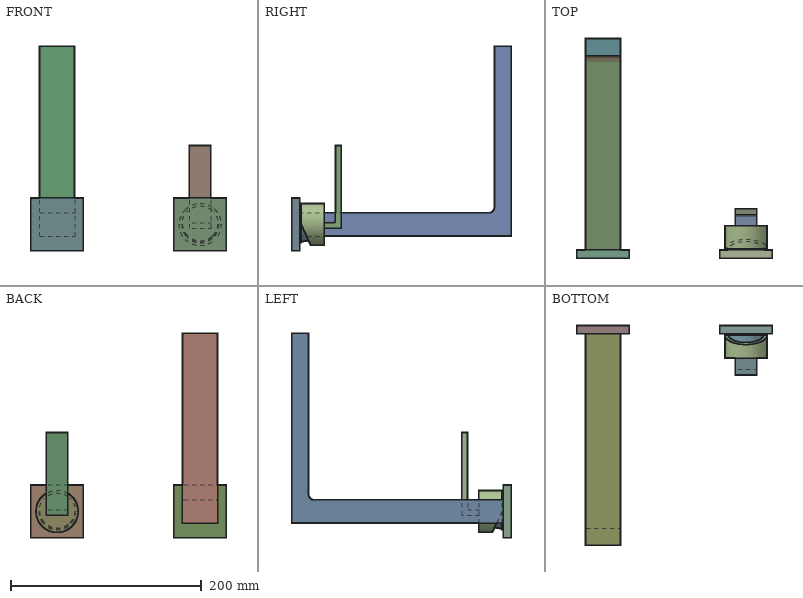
import cadquery as cq

plate_side = 55.3
plate_thickness = 8.8
plate_spacing = 149.8
lever_x = plate_spacing

total_depth = 230.5
spout_width = 36.9
spout_arm_height = 24.5
spout_riser_depth = 18.0
spout_top = 214.5 - plate_side / 2
spout_bend_radius = 5.5

hub_radius = 19.4
knob_radius = 22.1
knob_back = 10.1
knob_front = 34.3

relief_front = 20.0
core_back_radius = 18.5
core_front_radius = 16.8

lever_width = 22.8
lever_back = 45.9
lever_front = 52.0
lever_top = 82.7
lever_bottom = -4.0
tongue_top = 1.8
lever_bend_radius = 1.5


def along_wall_normal(radius, start, end):
    """Cylinder on the lever axis, running from y = start to y = end."""
    return (
        cq.Workplane("XZ", origin=(lever_x, start, 0))
        .circle(radius)
        .extrude(start - end)
    )


def side_profile(points, center_x, width):
    """Prism with the given (y, z) outline, centred on center_x."""
    return (
        cq.Workplane("YZ", origin=(center_x, 0, 0))
        .polyline(points)
        .close()
        .extrude(width / 2, both=True)
    )


def fillet_inner_bend(bar, corner, radius):
    """Round the edge of an L-shaped bar whose midpoint is corner."""
    return bar.edges(cq.selectors.NearestToPointSelector(corner)).fillet(radius)


def make_plate(center_x):
    return cq.Workplane("XY").box(plate_side, plate_thickness, plate_side).translate(
        (center_x, plate_thickness / 2, 0)
    )


def make_spout():
    arm_top = spout_arm_height / 2
    riser_back = total_depth - spout_riser_depth
    outline = [
        (plate_thickness, -arm_top),
        (total_depth, -arm_top),
        (total_depth, spout_top),
        (riser_back, spout_top),
        (riser_back, arm_top),
        (plate_thickness, arm_top),
    ]
    spout = side_profile(outline, 0, spout_width)
    return fillet_inner_bend(spout, (0, riser_back, arm_top), spout_bend_radius)


def make_hub():
    return along_wall_normal(hub_radius, plate_thickness, knob_back)


def make_relief():
    """Wedge behind a sloped plane, cleared around the tapered core of the knob."""
    wedge = side_profile(
        [(knob_back, 0), (relief_front, -knob_radius), (knob_back, -knob_radius)],
        lever_x,
        2 * knob_radius,
    )
    core = cq.Workplane(
        cq.Solid.makeCone(
            core_back_radius,
            core_front_radius,
            relief_front - knob_back,
            pnt=cq.Vector(lever_x, knob_back, 0),
            dir=cq.Vector(0, 1, 0),
        )
    )
    return wedge.cut(core)


def make_knob():
    return along_wall_normal(knob_radius, knob_back, knob_front).cut(make_relief())


def make_lever():
    outline = [
        (knob_front, lever_bottom),
        (lever_front, lever_bottom),
        (lever_front, lever_top),
        (lever_back, lever_top),
        (lever_back, tongue_top),
        (knob_front, tongue_top),
    ]
    lever = side_profile(outline, lever_x, lever_width)
    return fillet_inner_bend(lever, (lever_x, lever_back, tongue_top), lever_bend_radius)


plates = [make_plate(x) for x in (0, plate_spacing)]
spout = make_spout()
hub = make_hub()
knob = make_knob()
lever = make_lever()

result = cq.Compound.makeCompound(
    [*[plate.val() for plate in plates], spout.val(), hub.val(), knob.val(), lever.val()]
)